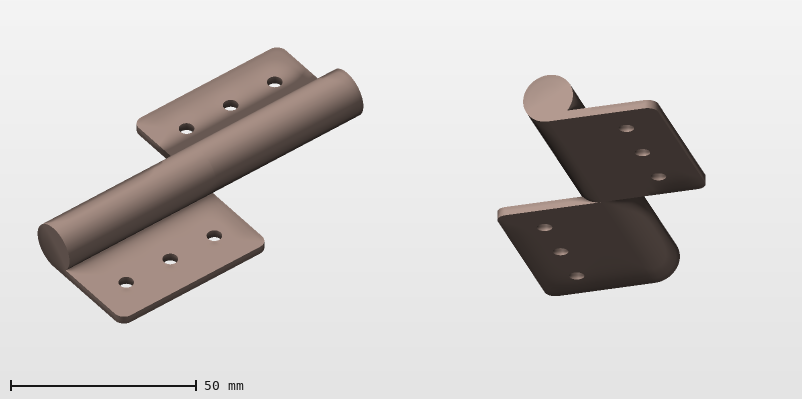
import cadquery as cq

hinge_length = 100.0
hinge_width = 60.0
knuckle_diameter = 14.0
pin_diameter = 9.0
leaf_thickness = 2.5
corner_radius = 3.0
hole_diameter = 4.2
hole_spacing = 15.0
hole_offset = 19.0
holes_per_leaf = 3

leaf_length = hinge_length / 2
leaf_reach = hinge_width / 2
axis_height = knuckle_diameter / 2


def y_cylinder(diameter, start_y, length):
    """Cylinder on the hinge axis, from start_y towards +Y."""
    return (
        cq.Workplane("XZ", origin=(0, start_y, axis_height))
        .circle(diameter / 2)
        .extrude(-length)
    )


def make_leaf(side, start_y):
    """Leaf with its knuckle; side is +1 or -1 for the X direction of the plate."""
    middle_y = start_y + leaf_length / 2
    outer_edge = ">X" if side > 0 else "<X"
    plate = (
        cq.Workplane("XY")
        .center(side * leaf_reach / 2, middle_y)
        .rect(leaf_reach, leaf_length)
        .extrude(leaf_thickness)
        .faces(outer_edge)
        .edges("|Z")
        .fillet(corner_radius)
    )
    knuckle = y_cylinder(knuckle_diameter, start_y, leaf_length)
    bore = y_cylinder(pin_diameter, start_y, leaf_length)
    screw_holes = (
        cq.Workplane("XY")
        .center(side * hole_offset, middle_y)
        .rarray(1, hole_spacing, 1, holes_per_leaf)
        .circle(hole_diameter / 2)
        .extrude(leaf_thickness)
    )
    return plate.union(knuckle).cut(bore).cut(screw_holes)


front_leaf = make_leaf(1, -leaf_length)
back_leaf = make_leaf(-1, 0)

pin = y_cylinder(pin_diameter, -leaf_length, hinge_length)

result = cq.Compound.makeCompound([front_leaf.val(), back_leaf.val(), pin.val()])